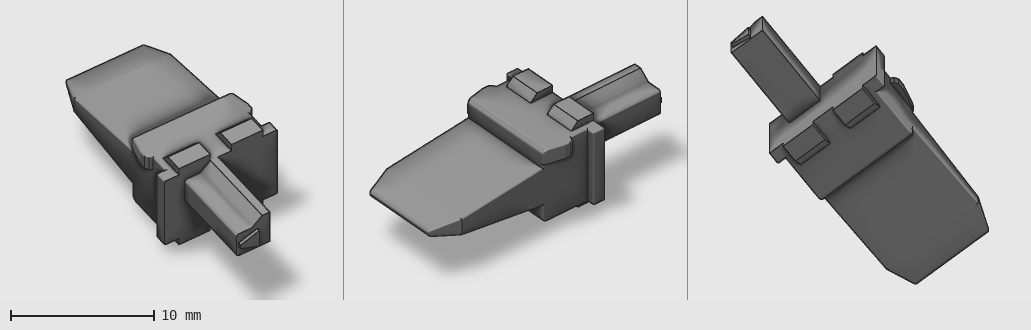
import cadquery as cq
import math

NOSE_BEND_X = 2.3
BODY_X = 9.7
FLANGE_X = 13.78
BODY_END_X = 14.77
STEM_END_X = 21.35
TOTAL_LENGTH = 21.6

TIP_HALF_WIDTH = 3.22
TIP_RADIUS = 0.28
BEND_HALF_HEIGHT = 0.7
ROOT_HALF_HEIGHT = 1.6
NOSE_OVERLAP = 0.22

BODY_HALF_HEIGHT = 3.1
BODY_HALF_WIDTH = 4.05
BODY_FRONT_RADIUS = 0.45
FLANGE_HALF_WIDTH = 4.72
EDGE_RADIUS = 0.13

BULGE_BOTTOM_Z = 1.92
BULGE_START_HALF_WIDTH = 4.1
BULGE_HALF_WIDTH = 4.47
BULGE_FLAT_START_X = 11.38
BULGE_FLAT_END_X = 11.9
BULGE_SHOULDER_X = 12.18
BULGE_SHOULDER_HALF_WIDTH = 4.3
BULGE_END_X = 12.31

LATCH_START_X = 12.77
LATCH_HEIGHT = 0.6
LATCH_INNER_Y = 0.89
LATCH_OUTER_Y = 3.5

STEM_RIB_Y = -0.24
STEM_SLOPE_START_Y = -0.86
STEM_SLOPE_END_Y = -1.73
STEM_OUTER_Y = -3.02
STEM_BOTTOM_Z = 0.24
STEM_SHELF_Z = 2.35
STEM_EDGE_RADIUS = 0.25
STEM_GROOVE_RADIUS = 0.25

PAD_BASE_Y = -1.27
PAD_APEX_Y = -2.83
PAD_CENTER_Z = 1.3
PAD_BASE_HALF_HEIGHT = 0.75
PAD_APEX_HALF_HEIGHT = 0.17


def mirrored_outline(plane, half_outline):
    """Closed outline from its positive half, mirrored about the local X axis."""
    other_half = [(x, -v) for x, v in reversed(half_outline)]
    return cq.Workplane(plane).polyline(half_outline + other_half).close()


def make_nose():
    """Wedge with a rounded tip and rounded side edges, ending just inside the body."""
    root_x = BODY_X + NOSE_OVERLAP
    side_slope = (ROOT_HALF_HEIGHT - BEND_HALF_HEIGHT) / (BODY_X - NOSE_BEND_X)
    bend_to_center = NOSE_BEND_X - TIP_RADIUS
    center_angle = math.atan2(BEND_HALF_HEIGHT, bend_to_center)
    tip_slope = center_angle - math.asin(TIP_RADIUS / math.hypot(bend_to_center, BEND_HALF_HEIGHT))
    tangent_x = TIP_RADIUS * (1 - math.sin(tip_slope))
    tangent_z = TIP_RADIUS * math.cos(tip_slope)
    root_half_height = ROOT_HALF_HEIGHT + side_slope * NOSE_OVERLAP
    wedge = (
        cq.Workplane("XZ")
        .moveTo(tangent_x, tangent_z)
        .lineTo(NOSE_BEND_X, BEND_HALF_HEIGHT)
        .lineTo(root_x, root_half_height)
        .lineTo(root_x, -root_half_height)
        .lineTo(NOSE_BEND_X, -BEND_HALF_HEIGHT)
        .lineTo(tangent_x, -tangent_z)
        .threePointArc((0, 0), (tangent_x, tangent_z))
        .close()
        .extrude(BODY_HALF_WIDTH, both=True)
    )
    plan_outline = [
        (0, TIP_HALF_WIDTH),
        (NOSE_BEND_X, BODY_HALF_WIDTH),
        (root_x, BODY_HALF_WIDTH),
    ]
    plan = mirrored_outline("XY", plan_outline).extrude(BODY_HALF_HEIGHT, both=True)
    wedge = wedge.intersect(plan)
    tip_zone = cq.Workplane("XY").box(2 * NOSE_BEND_X, TOTAL_LENGTH, TOTAL_LENGTH)
    tip = wedge.intersect(tip_zone)
    tip = tip.edges("not (|Y or |Z)").fillet(EDGE_RADIUS)
    flanks = wedge.cut(tip_zone)
    flanks = flanks.edges("not (|Y or |Z)").fillet(EDGE_RADIUS)
    return tip.union(flanks)


def make_body():
    body = cq.Workplane("XY").box(
        BODY_END_X - BODY_X,
        2 * BODY_HALF_WIDTH,
        2 * BODY_HALF_HEIGHT,
        centered=(False, True, True),
    )
    body = body.translate((BODY_X, 0, 0))
    body = body.edges("|Y and <X").fillet(BODY_FRONT_RADIUS)
    return body.edges("(>Y or <Y) and (not >X)").fillet(EDGE_RADIUS)


def make_bulges():
    """Slab across the top of the body whose sides swell out past the body."""
    plan_outline = [
        (BODY_X, BULGE_START_HALF_WIDTH),
        (BULGE_FLAT_START_X, BULGE_HALF_WIDTH),
        (BULGE_FLAT_END_X, BULGE_HALF_WIDTH),
        (BULGE_SHOULDER_X, BULGE_SHOULDER_HALF_WIDTH),
        (BULGE_END_X, BODY_HALF_WIDTH),
    ]
    height = BODY_HALF_HEIGHT - BULGE_BOTTOM_Z
    slab = mirrored_outline("XY", plan_outline).extrude(height).translate((0, 0, BULGE_BOTTOM_Z))
    slab = slab.edges("|Y and <X and >Z").fillet(BODY_FRONT_RADIUS)
    return slab.faces(">Z").edges("not |Y").fillet(EDGE_RADIUS)


def make_flange():
    flange = cq.Workplane("XY").box(
        BODY_END_X - FLANGE_X,
        2 * FLANGE_HALF_WIDTH,
        2 * BODY_HALF_HEIGHT,
        centered=(False, True, True),
    )
    flange = flange.translate((FLANGE_X, 0, 0))
    return flange.edges("<X or (|X and (<Y or >Y))").fillet(EDGE_RADIUS)


def make_latches():
    top_z = BODY_HALF_HEIGHT + LATCH_HEIGHT
    profile = [
        (LATCH_START_X, BODY_HALF_HEIGHT),
        (LATCH_START_X + LATCH_HEIGHT, top_z),
        (BODY_END_X, top_z),
    ]
    bars = mirrored_outline("XZ", profile).extrude(LATCH_OUTER_Y, both=True)
    gap = cq.Workplane("XY").box(2 * TOTAL_LENGTH, 2 * LATCH_INNER_Y, 2 * top_z)
    return bars.cut(gap)


def make_stem():
    profile = [
        (STEM_RIB_Y, STEM_BOTTOM_Z),
        (STEM_RIB_Y, BODY_HALF_HEIGHT),
        (STEM_SLOPE_START_Y, BODY_HALF_HEIGHT),
        (STEM_SLOPE_END_Y, STEM_SHELF_Z),
        (STEM_OUTER_Y, STEM_SHELF_Z),
        (STEM_OUTER_Y, STEM_BOTTOM_Z),
    ]
    stem = cq.Workplane("YZ", origin=(BODY_END_X, 0, 0)).polyline(profile).close()
    stem = stem.extrude(STEM_END_X - BODY_END_X)
    stem = stem.edges("|X and <Y").fillet(STEM_EDGE_RADIUS)
    middle_x = (BODY_END_X + STEM_END_X) / 2
    groove = cq.selectors.NearestToPointSelector((middle_x, STEM_SLOPE_END_Y, STEM_SHELF_Z))
    return stem.edges(groove).fillet(STEM_GROOVE_RADIUS)


def make_pad():
    profile = [
        (PAD_BASE_Y, PAD_BASE_HALF_HEIGHT),
        (PAD_APEX_Y, PAD_APEX_HALF_HEIGHT),
    ]
    pad = mirrored_outline("YZ", profile).extrude(TOTAL_LENGTH - STEM_END_X)
    return pad.translate((STEM_END_X, 0, PAD_CENTER_Z))


result = make_body()
for feature in (make_nose(), make_bulges(), make_flange(), make_latches(), make_stem(), make_pad()):
    result = result.union(feature)